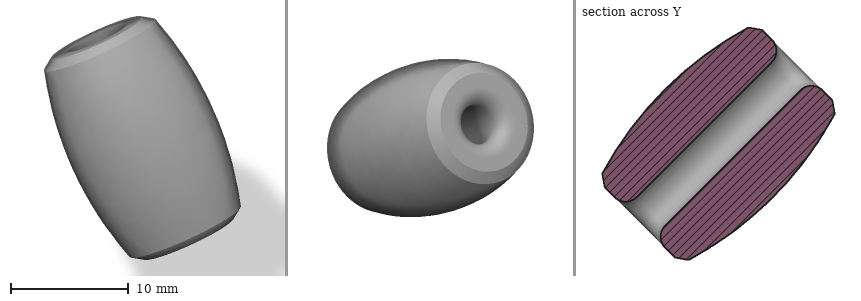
import cadquery as cq
import math

overall_side = 19.81
belly_diameter = 13.0
shoulder_diameter = 10.42
face_diameter = 8.48
bore_diameter = 3.4
mouth_diameter = 6.06
bevel_length = 0.67
axis_tilt = -45.0

belly_radius = belly_diameter / 2
shoulder_radius = shoulder_diameter / 2
face_radius = face_diameter / 2
bore_radius = bore_diameter / 2
mouth_radius = mouth_diameter / 2
mouth_round = mouth_radius - bore_radius
shoulder_height = overall_side / math.sqrt(2) - shoulder_radius
face_height = shoulder_height + bevel_length
round_start = face_height - mouth_round
round_mid_offset = mouth_round * math.sqrt(0.5)
round_mid_radius = mouth_radius - round_mid_offset
round_mid_height = round_start + round_mid_offset

section = (
    cq.Workplane("XZ")
    .moveTo(bore_radius, -round_start)
    .lineTo(bore_radius, round_start)
    .threePointArc((round_mid_radius, round_mid_height), (mouth_radius, face_height))
    .lineTo(face_radius, face_height)
    .lineTo(shoulder_radius, shoulder_height)
    .threePointArc((belly_radius, 0), (shoulder_radius, -shoulder_height))
    .lineTo(face_radius, -face_height)
    .lineTo(mouth_radius, -face_height)
    .threePointArc((round_mid_radius, -round_mid_height), (bore_radius, -round_start))
    .close()
)

barrel = section.revolve(360, (0, 0, 0), (0, 1, 0))
result = barrel.rotate((0, 0, 0), (0, 1, 0), axis_tilt)